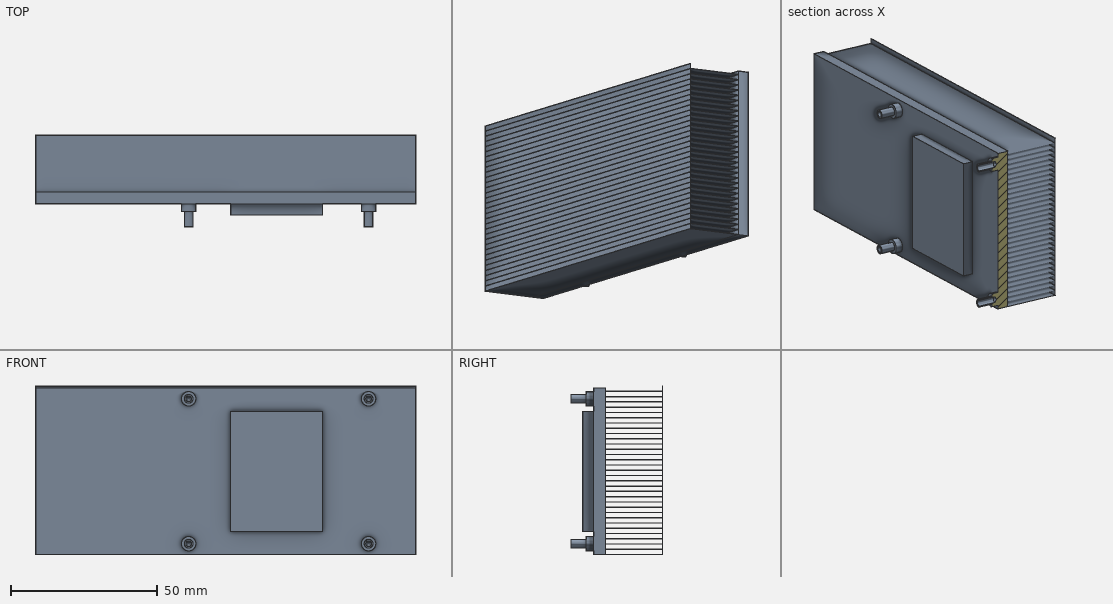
import cadquery as cq
import math

LENGTH = 130.0
DEPTH = 31.3
HEIGHT = 57.6

FIN_COUNT = 32
FIN_PITCH = HEIGHT / FIN_COUNT
FIN_THICKNESS = 0.1
FIN_DEPTH = 19.5

BASE_THICKNESS = 4.0
BASE_HEIGHT = 57.1

PAD_WIDTH = 31.5
PAD_HEIGHT = 41.1
PAD_THICKNESS = 3.8
PAD_CENTER_X = 17.4
PAD_BOTTOM = 7.9

STUD_SPACING_X = 61.5
STUD_SPACING_Z = 49.5
STUD_CENTER_X = 18.1
STUD_BOTTOM = 3.8
COLLAR_DIAMETER = 5.0
COLLAR_LENGTH = 2.6
PIN_DIAMETER = 3.0

HOLE_DIAMETER = 2.0
HOLE_DEPTH = 6.5
DRILL_POINT_ANGLE = 118.0

BASE_BACK = DEPTH - FIN_DEPTH
BASE_FRONT = BASE_BACK - BASE_THICKNESS


def block(x_center, width, y_front, y_back, z_bottom, height):
    """Box centred on x_center, spanning y_front to y_back and rising from z_bottom."""
    return (
        cq.Workplane("XY")
        .box(width, y_back - y_front, height, centered=(True, False, False))
        .translate((x_center, y_front, z_bottom))
    )


def fin_stack():
    """Extruded comb of webs whose back lips meet to form a closed sheet."""
    fins = block(0, LENGTH, DEPTH - FIN_THICKNESS, DEPTH, 0, HEIGHT)
    for index in range(FIN_COUNT):
        fins = fins.union(block(0, LENGTH, BASE_BACK, DEPTH, index * FIN_PITCH, FIN_THICKNESS))
    return fins


def stud():
    """Stud profile revolved about its axis, with its tip at the origin pointing to -Y."""
    collar_radius = COLLAR_DIAMETER / 2
    pin_radius = PIN_DIAMETER / 2
    hole_radius = HOLE_DIAMETER / 2
    drill_point = hole_radius / math.tan(math.radians(DRILL_POINT_ANGLE / 2))
    return (
        cq.Workplane("YZ")
        .moveTo(HOLE_DEPTH + drill_point, 0)
        .lineTo(HOLE_DEPTH, hole_radius)
        .lineTo(0, hole_radius)
        .lineTo(0, pin_radius)
        .lineTo(BASE_FRONT - COLLAR_LENGTH, pin_radius)
        .lineTo(BASE_FRONT - COLLAR_LENGTH, collar_radius)
        .lineTo(BASE_FRONT, collar_radius)
        .lineTo(BASE_FRONT, 0)
        .close()
        .revolve(360, (0, 0, 0), (1, 0, 0))
    )


base = block(0, LENGTH, BASE_FRONT, BASE_BACK, 0, BASE_HEIGHT)
pad = block(PAD_CENTER_X, PAD_WIDTH, BASE_FRONT - PAD_THICKNESS, BASE_FRONT, PAD_BOTTOM, PAD_HEIGHT)

result = base.union(fin_stack()).union(pad)
for side in (-1, 1):
    for row in (0, 1):
        stud_x = STUD_CENTER_X + side * STUD_SPACING_X / 2
        stud_z = STUD_BOTTOM + row * STUD_SPACING_Z
        result = result.union(stud().translate((stud_x, 0, stud_z)))